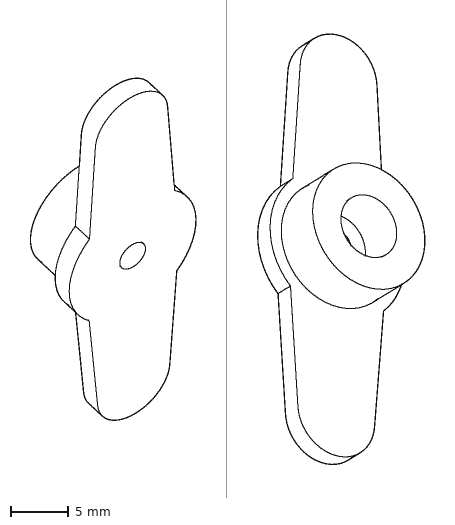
import cadquery as cq
import math

total_length = 40.0
plate_thickness = 2.0
boss_height = 5.0
hub_diameter = 14.0
boss_diameter = 11.7
counterbore_diameter = 5.8
counterbore_depth = boss_height
bore_diameter = 2.85

tip_radius = 4.0
tip_center_z = total_length / 2 - tip_radius
tip_offset_y = 0.1
tip_side_z = 16.2
upper_root_y = (-4.75, 4.65)
lower_root_y = (-4.8, 4.9)


def disk(diameter, start_x, thickness):
    """Cylinder on the hub axis, extending toward +X from start_x."""
    return cq.Workplane("YZ", origin=(start_x, 0, 0)).circle(diameter / 2).extrude(thickness)


def arm(direction, center_y, root_y):
    """Round-ended tapered arm pointing along +Z (1) or -Z (-1)."""
    hub_radius = hub_diameter / 2
    side_rise = tip_side_z - tip_center_z
    half_width = math.sqrt(tip_radius**2 - side_rise**2)
    tip_y = (center_y - half_width, center_y + half_width)
    root_z = [direction * math.sqrt(hub_radius**2 - y**2) for y in root_y]
    tip_z = direction * tip_side_z
    return (
        cq.Workplane("YZ", origin=(boss_height, 0, 0))
        .moveTo(0, 0)
        .lineTo(root_y[0], root_z[0])
        .lineTo(tip_y[0], tip_z)
        .threePointArc((center_y, direction * total_length / 2), (tip_y[1], tip_z))
        .lineTo(root_y[1], root_z[1])
        .close()
        .extrude(plate_thickness)
    )


plate = disk(hub_diameter, boss_height, plate_thickness)
plate = plate.union(arm(1, -tip_offset_y, upper_root_y))
plate = plate.union(arm(-1, tip_offset_y, lower_root_y))

body = plate.union(disk(boss_diameter, 0, boss_height))
body = body.cut(disk(counterbore_diameter, 0, counterbore_depth))
result = body.cut(disk(bore_diameter, 0, boss_height + plate_thickness))